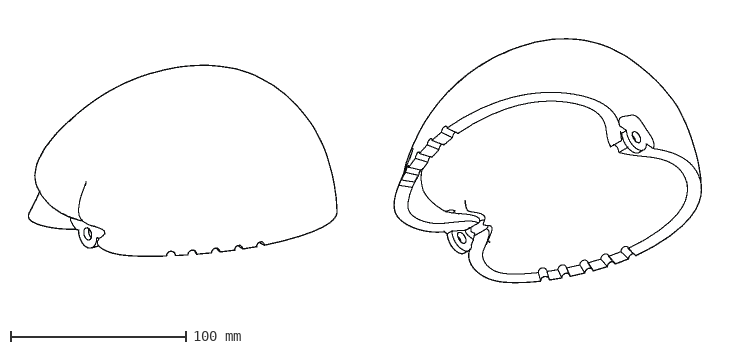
import cadquery as cq
import math

LOBES = 5
WALL = 8.0
ENVELOPE = 199.8

RINGS = [
    (1.7, -53.3, 0.0),
    (8.2, -61.0, 3.0),
    (15.7, -70.0, 5.8),
    (26.6, -75.1, 7.7),
    (39.6, -74.5, 8.2),
    (51.0, -66.1, 7.7),
    (61.5, -51.6, 5.8),
    (70.5, -33.1, 3.5),
    (76.5, -14.8, 2.5),
    (79.4, 2.2, 1.8),
    (79.7, 21.1, 1.3),
    (76.8, 40.6, 0.8),
    (71.1, 55.3, 0.3),
    (61.6, 68.1, 0.0),
    (49.6, 77.0, -0.8),
    (37.8, 80.9, -1.5),
    (26.6, 80.4, -1.3),
    (15.7, 75.6, -0.7),
    (8.2, 70.0, -0.3),
    (1.7, 65.0, 0.0),
]
POINTS_PER_LOBE = 8

PLATE_THICK = 3.7
PLATE_RADIUS = 17.5
TAB_RADIUS = 8.3
BORE_RADIUS = 3.5
PLATE_MID_YS = [-62.6, 72.8]

NOTCH_RADIUS = 2.5
NOTCH_DEPTH = 23.3
NOTCH_SPOTS = [(78.6, -1.5), (76.1, -15.3), (72.3, -28.8), (67.1, -41.8), (61.1, -52.6)]
FIRST_NOTCH_TILT = 9
NOTCH_TILT_STEP = 6


def ring_wire(radius, y, wave):
    """Closed ring around the Y axis that waves along Y once per lobe; it starts at the bottom."""
    count = LOBES * POINTS_PER_LOBE
    points = []
    for step in range(count):
        turn = 2 * math.pi * step / count
        across = radius * math.sin(turn)
        down = radius * math.cos(turn)
        points.append(cq.Vector(across, y - wave * math.cos(LOBES * turn), -down))
    turns = [step / count for step in range(count + 1)]
    return cq.Wire.assembleEdges([cq.Edge.makeSpline(points, periodic=True, parameters=turns)])


def inset_rings(rings, depth):
    """Move each ring inward, square to the mean profile; the two end rings move along Y."""
    inner = [(rings[0][0], rings[0][1] + depth, 0.0)]
    for before, (radius, y, wave), after in zip(rings, rings[1:], rings[2:]):
        out = after[0] - before[0]
        along = after[1] - before[1]
        length = math.hypot(out, along)
        inner.append((radius - depth * along / length, y + depth * out / length, wave))
    inner.append((rings[-1][0], rings[-1][1] - depth, 0.0))
    return inner


def apple(rings):
    return cq.Workplane(cq.Solid.makeLoft([ring_wire(*ring) for ring in rings]))


def rod_along_y(radius, mid_y, length):
    return cq.Workplane("XZ", origin=(0, mid_y + length / 2, 0)).circle(radius).extrude(length)


def notch(x, y, tilt):
    inward = cq.Vector(-math.cos(tilt), math.sin(tilt), 0)
    start = cq.Vector(x, y, 0) - inward * (NOTCH_DEPTH / 2)
    return cq.Workplane(cq.Solid.makeCylinder(NOTCH_RADIUS, NOTCH_DEPTH, start, inward))


upper_half = cq.Workplane("XY").box(ENVELOPE, ENVELOPE, ENVELOPE, centered=(True, True, False))
outer = apple(RINGS).intersect(upper_half)
inner = apple(inset_rings(RINGS, WALL)).intersect(upper_half)
result = outer.cut(inner)

for mid_y in PLATE_MID_YS:
    disc = rod_along_y(PLATE_RADIUS, mid_y, PLATE_THICK).intersect(upper_half)
    result = result.union(disc.union(rod_along_y(TAB_RADIUS, mid_y, PLATE_THICK)))

cutters = rod_along_y(BORE_RADIUS, 0, ENVELOPE)
for place, (x, y) in enumerate(NOTCH_SPOTS):
    cutter = notch(x, y, math.radians(FIRST_NOTCH_TILT + place * NOTCH_TILT_STEP))
    cutters = cutters.add(cutter).add(cutter.mirror("YZ"))
result = result.cut(cutters.combine()).solids()